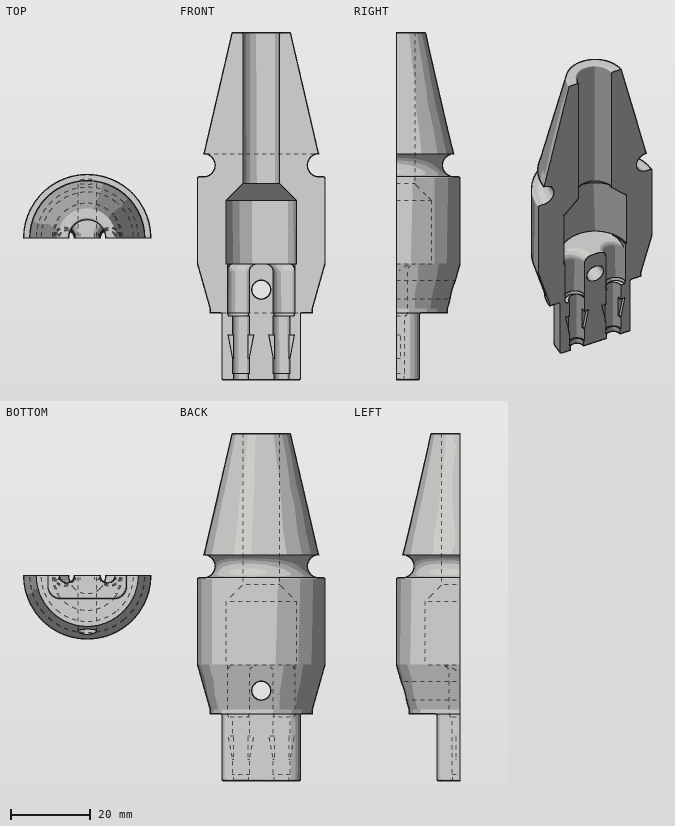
import cadquery as cq
import math

total_length = 87.2
shoulder_z = 16.8
rim_top_z = 17.9
cavity_floor_z = 29.1
taper_top_z = cavity_floor_z
cavity_top_z = 45.1

body_radius = 15.99
rim_radius = 12.8
nose_base_radius = 14.4
nose_tip_radius = 7.3
tip_rounding = 0.35
groove_lip_rounding = 0.4

groove_z = 53.9
groove_radius = 2.9
groove_center_radius = 14.5
groove_bottom_z = groove_z - groove_radius
groove_top_z = groove_z + groove_radius

bore_radius = 4.6
bore_mouth_rounding = 0.4
cavity_radius = 8.8
bore_bottom_z = cavity_top_z + cavity_radius - bore_radius

tongue_width = 19.7
tongue_depth = 5.8
tongue_corner_radius = 3.1
tongue_end_rounding = 0.4
tongue_root_fillet = 0.4

channel_inner_x = 3.01
wire_radius = 2.745
contact_radius = 2.1
mouth_radius = 1.87
mouth_top_z = 1.65
contact_top_z = 16.0
wire_bottom_z = shoulder_z
wire_seat_radius = 2.4
flare_radius = 2.0
flare_limit_radius = channel_inner_x + 2 * wire_radius - 0.04
wire_x = channel_inner_x + wire_radius
contact_x = channel_inner_x + contact_radius

barb_top_z = 11.3
barb_bottom_z = 5.4
barb_top_half_width = 3.2
barb_depth = 1.0

screw_z = 22.7
screw_radius = 2.35


def half_turn(profile):
    """Close an XZ profile and revolve it about Z through the +Y half."""
    return profile.close().revolve(180, (0, 0, 0), (0, 1, 0))


def cylinder(x, radius, bottom_z, top_z):
    return cq.Workplane("XY", origin=(x, 0, bottom_z)).circle(radius).extrude(top_z - bottom_z)


def cone(x, bottom_radius, top_radius, bottom_z, top_z):
    profile = (
        cq.Workplane("XZ", origin=(x, 0, 0))
        .moveTo(0, bottom_z)
        .lineTo(bottom_radius, bottom_z)
        .lineTo(top_radius, top_z)
        .lineTo(0, top_z)
        .close()
    )
    return profile.revolve(360, (0, 0, 0), (0, 1, 0))


def make_body():
    profile = (
        cq.Workplane("XZ")
        .moveTo(0, shoulder_z)
        .lineTo(rim_radius, shoulder_z)
        .lineTo(rim_radius, rim_top_z)
        .lineTo(body_radius, taper_top_z)
        .lineTo(body_radius, groove_bottom_z - groove_lip_rounding)
        .radiusArc((body_radius - groove_lip_rounding, groove_bottom_z), -groove_lip_rounding)
        .lineTo(groove_center_radius, groove_bottom_z)
        .threePointArc(
            (groove_center_radius - groove_radius, groove_z),
            (groove_center_radius, groove_top_z),
        )
        .lineTo(nose_base_radius, groove_top_z)
        .lineTo(nose_tip_radius, total_length)
        .lineTo(0, total_length)
    )
    return half_turn(profile).edges(">Z and %CIRCLE").fillet(tip_rounding)


def make_tongue():
    tongue = (
        cq.Workplane("XY")
        .rect(tongue_width, 2 * tongue_depth)
        .extrude(cavity_floor_z)
        .edges("|Z")
        .fillet(tongue_corner_radius)
        .faces("<Z")
        .edges()
        .fillet(tongue_end_rounding)
    )
    back_half = cq.Workplane("XY").box(
        tongue_width, tongue_depth, cavity_floor_z, centered=(True, False, False)
    )
    return tongue.intersect(back_half)


def fillet_tongue_root(shell):
    margin = 0.1
    root_edges = cq.selectors.BoxSelector(
        (-tongue_width / 2 - margin, -margin, shoulder_z - margin),
        (tongue_width / 2 + margin, tongue_depth + margin, shoulder_z + margin),
        boundingbox=True,
    )
    return shell.edges(root_edges).fillet(tongue_root_fillet)


def make_bore_mouth():
    """Convex rounding where the bore opens at the cable end."""
    profile = (
        cq.Workplane("XZ")
        .moveTo(0, total_length - bore_mouth_rounding)
        .lineTo(bore_radius, total_length - bore_mouth_rounding)
        .radiusArc((bore_radius + bore_mouth_rounding, total_length), bore_mouth_rounding)
        .lineTo(0, total_length)
        .close()
    )
    return profile.revolve(360, (0, 0, 0), (0, 1, 0))


def make_cable_cavity():
    return (
        cylinder(0, bore_radius, bore_bottom_z, total_length)
        .union(cone(0, cavity_radius, bore_radius, cavity_top_z, bore_bottom_z))
        .union(cylinder(0, cavity_radius, cavity_floor_z, cavity_top_z))
        .union(make_bore_mouth())
    )


def make_flare(side):
    """Rounded entry of a wire channel, kept inside the outer channel wall."""
    flare_bottom_z = cavity_floor_z - flare_radius
    flare_mid = flare_radius * math.sqrt(0.5)
    profile = (
        cq.Workplane("XZ", origin=(side * wire_x, 0, 0))
        .moveTo(0, flare_bottom_z)
        .lineTo(wire_radius, flare_bottom_z)
        .threePointArc(
            (wire_radius + flare_radius - flare_mid, flare_bottom_z + flare_mid),
            (wire_radius + flare_radius, cavity_floor_z),
        )
        .lineTo(0, cavity_floor_z)
        .close()
    )
    flare = profile.revolve(360, (0, 0, 0), (0, 1, 0))
    return flare.intersect(cylinder(0, flare_limit_radius, flare_bottom_z, cavity_floor_z))


def make_barb(side):
    outline = [
        (-barb_top_half_width, barb_top_z),
        (barb_top_half_width, barb_top_z),
        (contact_radius, barb_bottom_z),
        (-contact_radius, barb_bottom_z),
    ]
    return (
        cq.Workplane("XZ", origin=(side * contact_x, 0, 0))
        .polyline(outline)
        .close()
        .extrude(-barb_depth)
    )


def make_channel(side):
    return (
        cylinder(side * wire_x, wire_radius, wire_bottom_z, cavity_floor_z)
        .union(cone(side * wire_x, wire_seat_radius, wire_radius, contact_top_z, wire_bottom_z))
        .union(cylinder(side * contact_x, contact_radius, mouth_top_z, contact_top_z))
        .union(cylinder(side * contact_x, mouth_radius, 0, mouth_top_z))
        .union(make_flare(side))
        .union(make_barb(side))
    )


screw_hole = cq.Workplane("XZ", origin=(0, 0, screw_z)).circle(screw_radius).extrude(-body_radius)

result = fillet_tongue_root(make_body().union(make_tongue()))
result = result.cut(make_cable_cavity()).cut(screw_hole)
for side in (-1, 1):
    result = result.cut(make_channel(side))